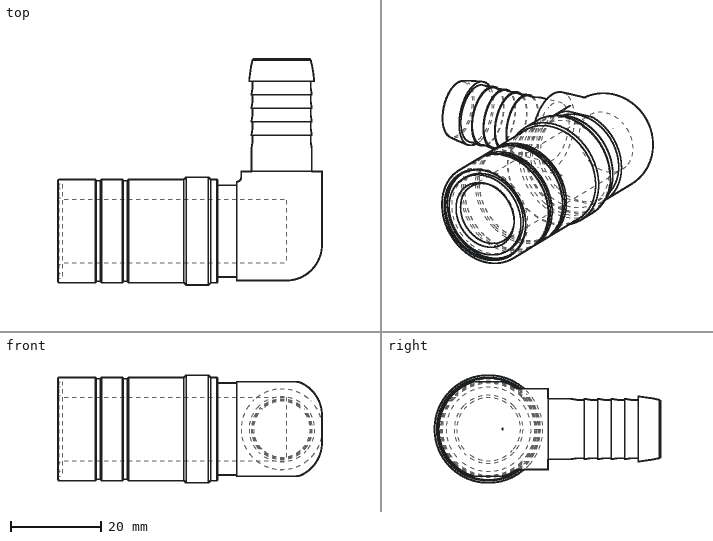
import cadquery as cq

sleeve_d = 23.0
sleeve_end_x = 35.5
rim_round = 0.4
rear_chamfer = 0.2

groove_d = 22.4
groove_width = 1.5
groove_starts_x = (8.25, 14.25)

collar_d = 24.0
collar_start_x = 28.0
collar_end_x = 33.95
collar_bevel = (collar_d - sleeve_d) / 2

ring_outer_d = 21.0
ring_inner_d = 18.8
ring_depth = 1.0
ring_rim_bevel = 0.2
bore_d = 14.1
bore_mouth_d = 15.2
bore_mouth_depth = 1.0

neck_d = 20.5
elbow_d = 22.0
elbow_start_x = 39.7
elbow_end_x = 58.7
elbow_end_round = 8.0
flat_distance = 21.0
flat_edge_round = 2.0
bore_depth = elbow_end_x - elbow_end_round

boss_d = 18.0
boss_setback = 0.001
boss_x = elbow_end_x - boss_setback - boss_d / 2
boss_end_y = 13.25
boss_blend = 0.9

tail_length = 25.0
tail_end_y = boss_end_y + tail_length
tail_d = 13.5
tail_root_d = 13.0
ring_count = 5
ring_pitch = 3.0
ring_taper = 1.5
plain_length = 5.0
first_ring_y = boss_end_y + plain_length

barb_d = 14.5
barb_tip_d = 13.0
barb_start_y = first_ring_y + ring_count * ring_pitch
barb_lip = 0.25
barb_bulge = 0.1
tip_chamfer = 0.25


def cylinder_x(diameter, start_x, end_x):
    """Cylinder on the X axis between two X positions."""
    plane = cq.Workplane("YZ", origin=(start_x, 0, 0))
    return plane.circle(diameter / 2).extrude(end_x - start_x)


def make_groove(start_x):
    """Shallow ring cutter with 45 degree walls around the sleeve."""
    depth = (sleeve_d - groove_d) / 2
    end_x = start_x + groove_width
    profile = cq.Workplane("XY").polyline([
        (start_x, sleeve_d / 2),
        (start_x + depth, groove_d / 2),
        (end_x - depth, groove_d / 2),
        (end_x, sleeve_d / 2),
    ]).close()
    return profile.revolve(360, (0, 0, 0), (1, 0, 0))


def make_sleeve():
    """Grooved sleeve with its bevelled collar."""
    body = cylinder_x(sleeve_d, 0, sleeve_end_x)
    body = body.faces("<X").edges().fillet(rim_round)
    body = body.faces(">X").edges().chamfer(rear_chamfer)
    for start_x in groove_starts_x:
        body = body.cut(make_groove(start_x))
    collar = cylinder_x(collar_d, collar_start_x, collar_end_x)
    collar = collar.edges().chamfer(collar_bevel)
    return body.union(collar)


def make_elbow():
    """Elbow body with its rounded end and a soft-edged flat on top and bottom."""
    body = cylinder_x(elbow_d, elbow_start_x, elbow_end_x)
    body = body.faces(">X").edges().fillet(elbow_end_round)
    slab = cq.Workplane("XY").box(elbow_end_x, elbow_d, flat_distance, centered=(False, True, True))
    body = body.intersect(slab)
    for side in (">Z", "<Z"):
        flat_edges = body.faces(side).edges("not(<X)")
        body = flat_edges.fillet(flat_edge_round)
    return body


def make_boss():
    """Boss cylinder from the sleeve axis out to the foot of the hose tail."""
    plane = cq.Workplane("XZ", origin=(boss_x, 0, 0))
    return plane.circle(boss_d / 2).extrude(-boss_end_y)


def make_tail():
    """Hose tail: tapered rings and a larger end barb, revolved about the boss axis."""
    profile = cq.Workplane("XY", origin=(boss_x, 0, 0)).moveTo(0, boss_end_y)
    profile = profile.lineTo(tail_d / 2, boss_end_y)
    for index in range(ring_count):
        crest_y = first_ring_y + index * ring_pitch
        profile = profile.lineTo(tail_d / 2, crest_y)
        profile = profile.lineTo(tail_root_d / 2, crest_y + ring_taper)
        profile = profile.lineTo(tail_root_d / 2, crest_y + ring_pitch)
    lip_y = barb_start_y + barb_lip
    shoulder_y = tail_end_y - tip_chamfer
    barb_middle = ((barb_d + barb_tip_d) / 4 + barb_bulge, (lip_y + shoulder_y) / 2)
    profile = profile.lineTo(barb_d / 2, barb_start_y).lineTo(barb_d / 2, lip_y)
    profile = profile.threePointArc(barb_middle, (barb_tip_d / 2, shoulder_y))
    profile = profile.lineTo(barb_tip_d / 2 - tip_chamfer, tail_end_y).lineTo(0, tail_end_y).close()
    return profile.revolve(360, (0, 0, 0), (0, 1, 0))


def make_bore():
    """Blind bore cutter with a conical mouth."""
    profile = cq.Workplane("XY").polyline([
        (0, 0),
        (0, bore_mouth_d / 2),
        (bore_mouth_depth, bore_d / 2),
        (bore_depth, bore_d / 2),
        (bore_depth, 0),
    ]).close()
    return profile.revolve(360, (0, 0, 0), (1, 0, 0))


def make_ring_groove():
    """Ring-shaped cutter, flared at the mouth to bevel the inside of the rim."""
    profile = cq.Workplane("XY").polyline([
        (0, ring_inner_d / 2),
        (ring_depth, ring_inner_d / 2),
        (ring_depth, ring_outer_d / 2),
        (ring_rim_bevel, ring_outer_d / 2),
        (0, ring_outer_d / 2 + ring_rim_bevel),
    ]).close()
    return profile.revolve(360, (0, 0, 0), (1, 0, 0))


def join_boss(elbow):
    """Add the hose boss to the elbow and blend the concave seam between them."""
    joined = elbow.union(make_boss())
    seam_min_y = flat_edge_round
    seam = joined.edges("%BSPLINE").edges(cq.selectors.BoxSelector(
        (elbow_start_x, seam_min_y, -elbow_d),
        (elbow_end_x, elbow_d, elbow_d),
    ))
    return seam.fillet(boss_blend)


result = join_boss(make_elbow())
result = result.union(cylinder_x(neck_d, sleeve_end_x, elbow_start_x))
result = result.union(make_sleeve())
result = result.union(make_tail())
result = result.cut(make_bore()).cut(make_ring_groove())